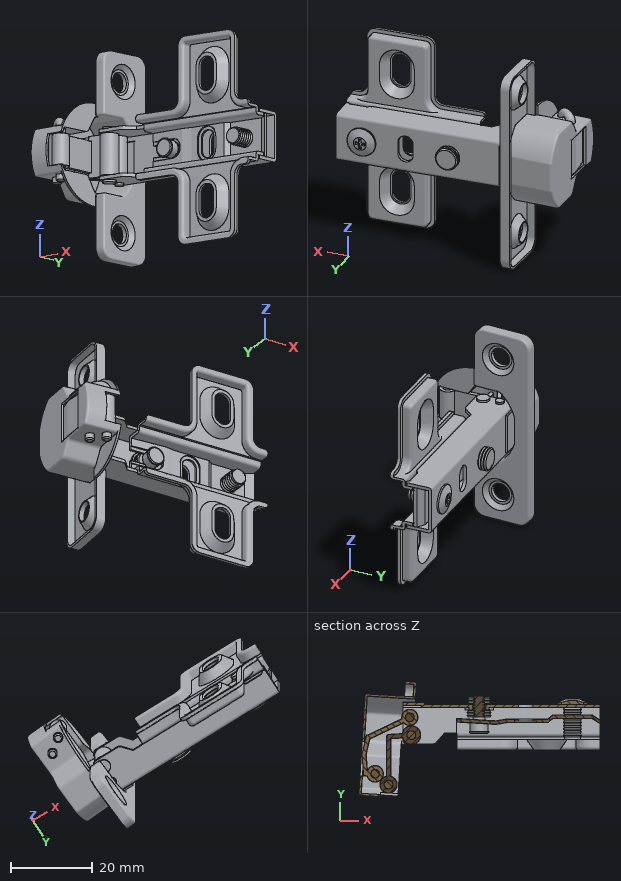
import cadquery as cq
import math


sheet = 0.9
clearance = 0.05
pick = 0.1
reach = 1.0
plate_length = 35.43

arm_front = -13.27
arm_back_y = 11.33
arm_half_width = 6.38
arm_inner_half = arm_half_width - sheet
arm_edge_y = 4.14
arm_nose_y = 1.46
arm_nose_end = -5.3
arm_nose_slope = 2.35
arm_nose_radius = 1.2
notch_start = 28.8
notch_end = 34.9
notch_slope = 0.8
notch_depth = 0.7
arm_end_bevel = 0.45
arm_pad_end = -7.84
arm_pad_half_width = 5.2
arm_pad_recess_half = 4.3
arm_pad_height = 0.5

strip_half = 8.2
strip_corner = 0.95
wing_start = 13.27
wing_end = 31.24
wing_mid = (wing_start + wing_end) / 2
wing_half = 26.2
wing_corner = 2.35
wing_root_radius = 2.2
rim = 0.93
wall_inset = 1.05
cavity_inset = 1.8
cavity_lip_radius = 0.8
wing_back_y = 3.55
strip_back_y = arm_edge_y
strip_wall_inner = 6.35
back_bend = 0.85

channel_half = arm_inner_half
channel_inner = channel_half - sheet
web_start = 6.9
web_front = 6.3
web_middle = 6.75
web_rear = 7.75
web_tip_y = 6.4
web_tip_x = 35.56
web_tip_drop = 0.2
web_steps = (9.7, 12.4, 22.5, 23.7, 33.45)

wing_slot_z = 16.0
slot_straight = 4.1
wing_slot_width = 4.5
wing_cone_tip_width = 6.37
wing_cone_base_width = 10.07
middle_slot_x = 17.02
middle_slot_width = 4.0
middle_slot_length = 7.0
middle_recess_width = 5.75
middle_recess_depth = 0.4

adjuster_x = 5.54
knob_radius = 2.42
knob_neck_radius = 2.2
knob_lip = 0.5
knob_chamfer = 0.3
knob_front_y = 4.1
adjuster_neck_radius = 1.5
adjuster_root_radius = 2.6
adjuster_crest_radius = 2.95
adjuster_back_y = 13.4
adjuster_pitch = 0.8
adjuster_bush_radius = 3.5
adjuster_bush_height = 0.6
keyhole_end_x = 6.6
keyhole_recess = 0.85

clamp_x = 28.56
clamp_tip_radius = 1.95
clamp_root_radius = 1.9
clamp_crest_radius = 2.25
clamp_tip_y = 2.55
clamp_thread_y = 3.2
clamp_pitch = 0.85
clamp_head_radius = 3.74
clamp_head_rim = 0.45
clamp_head_height = 1.35
clamp_head_flat = 1.7
cross_slot_length = 2.6
cross_slot_width = 0.7
cross_slot_depth = 0.8

tilt = 3.5
cup_origin = (-13.67, 0.91)
cup_radius = 13.0
cup_depth = 9.74
cup_half_width = 10.35
cup_flat_y = 12.45
shoulder_half = 6.05
shoulder_start = -0.1
shoulder_end = -2.85
shoulder_radius = 1.9
neck_radius = 1.3
cup_corner_radius = 1.0
tip_corner_radius = 0.7
cup_bottom_fillet = 0.6
cup_wall = 0.65
lip_thickness = 0.6
lip_overlap = 0.1
window_half = 5.3
window_low = -7.87
window_high = 0.62
mouth_depth = 4.4
mouth_half = 4.05

flange_low = 0.42
flange_high = 16.1
flange_half = 26.35
flange_corner = 3.1
flange_depth = 2.85
flange_wall = 0.68
flange_back_fillet = 0.55
flange_opening_half = cup_half_width - cup_wall
passage_radius = 0.6
hole_y = 7.4
hole_z = 19.0
hole_radius = 2.5
hole_cone_tip = 2.77
hole_cone_base = 4.4
hole_cone_height = 1.9
hole_sink_depth = 1.2
hole_sink_radius = 3.2

wire_radius = 1.15
wire_bend = 1.78
wire_top_z = 8.7
wire_bottom_z = -7.75
wire_chamfer = 0.35
leg_a = (-6.0, -7.15)
leg_b = (-2.54, -9.6)

arm_pin_front = (-11.15, 3.67)
arm_pin_back = (-11.55, 8.05)
arm_pin_radius = 1.0
front_head_radius = 1.68
back_head_radius = 1.1
head_height = 0.57

link_half = 5.25
narrow_half = mouth_half - clearance
link_thickness = 1.1
wire_curl = 2.05
front_wire_curl = 2.12
front_curl = 2.3
back_curl = 2.0
link_edge_radius = 0.85
ridge_y = -2.47
ridge_x = -cup_depth + 0.15
facet_end_x = -8.85
knee = (-8.75, 2.3)
elbow = (-3.2, 2.2)


def block(x0, x1, y0, y1, z0, z1):
    return cq.Workplane("XY").box(x1 - x0, y1 - y0, z1 - z0, centered=False).translate((x0, y0, z0))


def rod_z(point, radius, half_length):
    """Round bar along Z, centred on Z = 0."""
    return cq.Workplane("XY").center(*point).circle(radius).extrude(half_length, both=True)


def from_front(x, z, y):
    """Workplane at depth y whose extrusions run along +Y; its second axis points to -Z."""
    return cq.Workplane(cq.Plane(origin=(x, y, z), xDir=(1, 0, 0), normal=(0, 1, 0)))


def slot_y(x, z, length, width, y0, y1):
    """Slot prism, long along Z, running from y0 to y1."""
    return from_front(x, z, y0).slot2D(length, width, 90).extrude(y1 - y0)


def slot_cone_y(x, z, straight, width0, width1, y0, y1):
    """Slot-shaped frustum, long along Z, of width0 at y0 and width1 at y1."""
    return (
        from_front(x, z, y0).slot2D(straight + width0, width0, 90)
        .workplane(offset=y1 - y0).slot2D(straight + width1, width1, 90).loft(combine=True)
    )


def turned_y(x, profile):
    """Solid of revolution about the Y direction at X = x, from (radius, y) points."""
    return (
        cq.Workplane("XY").polyline(profile).close()
        .revolve(360, (0, 0, 0), (0, 1, 0)).translate((x, 0, 0))
    )


def thread_points(root, crest, y0, y1, pitch):
    """(radius, y) points of V-shaped rings between y0 and y1."""
    count = round((y1 - y0) / pitch)
    step = (y1 - y0) / count
    points = [(root, y0)]
    for i in range(count):
        points.append((crest, y0 + (i + 0.5) * step))
        points.append((root, y0 + (i + 1) * step))
    return points


def place_cup(body):
    return body.rotate((0, 0, 0), (0, 0, 1), -tilt).translate((*cup_origin, 0))


def to_cup(point):
    """An X, Y point expressed in the cup frame."""
    dx = point[0] - cup_origin[0]
    dy = point[1] - cup_origin[1]
    c = math.cos(math.radians(tilt))
    s = math.sin(math.radians(tilt))
    return (dx * c - dy * s, dx * s + dy * c)


def make_arm():
    outline = [
        (arm_front, arm_back_y),
        (plate_length, arm_back_y),
        (plate_length, arm_edge_y + arm_end_bevel),
        (notch_end, arm_edge_y),
        (notch_end - notch_slope, arm_edge_y + notch_depth),
        (notch_start + notch_slope, arm_edge_y + notch_depth),
        (notch_start, arm_edge_y),
        (arm_nose_end + arm_nose_slope, arm_edge_y),
        (arm_nose_end, arm_nose_y),
        (arm_front, arm_nose_y),
    ]
    arm = cq.Workplane("XY").polyline(outline).close().extrude(arm_half_width, both=True)
    arm = arm.edges("|X and >Y").fillet(sheet)
    arm = arm.edges("|Z and <Y").fillet(arm_nose_radius)
    web_inner_y = arm_back_y - sheet
    arm = arm.cut(block(arm_front, plate_length, 0, web_inner_y, -arm_inner_half, arm_inner_half))
    pad_top_y = arm_back_y + arm_pad_height
    pad = block(arm_front, arm_pad_end, web_inner_y, pad_top_y, -arm_pad_half_width, arm_pad_half_width)
    recess = block(
        arm_front, arm_pad_end - sheet, web_inner_y, pad_top_y - sheet,
        -arm_pad_recess_half, arm_pad_recess_half)
    bush = (
        from_front(adjuster_x, 0, web_inner_y - adjuster_bush_height).circle(adjuster_bush_radius)
        .extrude(adjuster_bush_height)
    )
    return arm.union(pad).cut(recess).union(bush)


def cross_prism(inset, y0, y1):
    """Cross-shaped prism with its long sides moved inwards; the strip keeps its full length."""
    x0 = wing_start + inset
    x1 = wing_end - inset
    z_strip = strip_half - inset
    z_wing = wing_half - inset
    cross = block(0, plate_length, y0, y1, -z_strip, z_strip).union(block(x0, x1, y0, y1, -z_wing, z_wing))

    def upright_edges_at(z):
        corners = [
            cq.selectors.BoxSelector(
                (x - pick, y0 - reach, side * z - pick), (x + pick, y1 + reach, side * z + pick))
            for x in (x0, x1) for side in (-1, 1)
        ]
        return cross.edges(corners[0] + corners[1] + corners[2] + corners[3])

    cross = upright_edges_at(z_strip).fillet(wing_root_radius + inset)
    return upright_edges_at(z_wing).fillet(wing_corner - inset)


def web_points(shift):
    """Front of the channel web as X, Y points, moved back by shift."""
    levels = (web_front, web_middle, web_middle, web_rear, web_rear)
    return [(0, web_start + shift)] + [(x, y + shift) for x, y in zip(web_steps, levels)]


def channel_prism(end_points, shift, half_width, y0):
    profile = [(0, y0)] + web_points(shift) + end_points
    return cq.Workplane("XY").polyline(profile).close().extrude(half_width, both=True)


def make_plate():
    wing_floor_y = wing_back_y - sheet
    strip_floor_y = strip_back_y - sheet
    wall_half = strip_half - wall_inset

    wings = cross_prism(wall_inset, 0, wing_back_y).faces(">Y").edges("not(<X or >X)").fillet(back_bend)
    strip = block(0, plate_length, 0, strip_back_y, -wall_half, wall_half)
    strip = strip.edges("|X and >Y").fillet(back_bend)
    rim_plate = cross_prism(0, 0, rim).edges("|Y and (<X or >X)").fillet(strip_corner)
    plate = rim_plate.union(wings).union(strip)

    plate = plate.cut(cross_prism(cavity_inset, 0, wing_floor_y))
    lip_box = cq.selectors.BoxSelector(
        (wing_start + rim, -pick, -wing_half + rim), (wing_end - rim, pick, wing_half - rim))
    strip_box = cq.selectors.BoxSelector(
        (pick, -pick, -strip_half + rim), (plate_length - pick, pick, strip_half - rim))
    plate = plate.edges(lip_box + strip_box).fillet(cavity_lip_radius)
    plate = plate.cut(block(0, plate_length, 0, strip_floor_y, -strip_wall_inner, strip_wall_inner))

    outer_end = [
        (plate_length, web_tip_y + sheet),
        (web_tip_x, web_tip_y),
        (plate_length, web_tip_y - web_tip_drop),
        (plate_length, strip_floor_y),
    ]
    inner_end = [(web_tip_x, web_tip_y), (web_tip_x, 0)]
    plate = plate.union(channel_prism(outer_end, sheet, channel_half, strip_floor_y))
    plate = plate.cut(channel_prism(inner_end, 0, channel_inner, 0))
    mouth_edges = cq.selectors.BoxSelector(
        (pick, strip_floor_y - pick, -channel_inner - pick),
        (plate_length - pick, strip_floor_y + pick, channel_inner + pick))
    plate = plate.edges(mouth_edges).fillet(back_bend)

    for z in (-wing_slot_z, wing_slot_z):
        plate = plate.union(slot_cone_y(
            wing_mid, z, slot_straight, wing_cone_tip_width, wing_cone_base_width, 0, wing_floor_y))
        plate = plate.cut(slot_cone_y(
            wing_mid, z, slot_straight, wing_cone_tip_width - sheet, wing_cone_base_width - sheet,
            sheet, wing_back_y))
        slot_length = slot_straight + wing_slot_width
        plate = plate.cut(slot_y(wing_mid, z, slot_length, wing_slot_width, 0, wing_back_y))

    middle_straight = middle_slot_length - middle_slot_width
    plate = plate.cut(slot_y(
        middle_slot_x, 0, middle_straight + middle_recess_width, middle_recess_width,
        web_middle - sheet, web_middle + middle_recess_depth))
    plate = plate.cut(middle_slot())

    y_start = web_front - sheet
    keyhole_steps = (
        (knob_radius, web_front + keyhole_recess),
        (adjuster_neck_radius, web_rear + sheet),
    )
    for radius, y_end in keyhole_steps:
        plate = plate.cut(block(0, keyhole_end_x, y_start, y_end, -radius, radius))
        plate = plate.cut(from_front(keyhole_end_x, 0, y_start).circle(radius).extrude(y_end - y_start))
    return plate


def middle_slot():
    return slot_y(middle_slot_x, 0, middle_slot_length, middle_slot_width, 0, arm_back_y)


def make_adjuster():
    knob_back_y = web_front + keyhole_recess
    thread_start = web_front + 2 * sheet
    profile = [
        (0, knob_front_y),
        (knob_radius - knob_chamfer, knob_front_y),
        (knob_radius, knob_front_y + knob_chamfer),
        (knob_radius, knob_front_y + knob_lip),
        (knob_neck_radius, knob_front_y + knob_lip),
        (knob_neck_radius, knob_back_y),
        (adjuster_neck_radius, knob_back_y),
        (adjuster_neck_radius, thread_start),
    ]
    profile += thread_points(
        adjuster_root_radius, adjuster_crest_radius, thread_start, adjuster_back_y, adjuster_pitch)
    profile.append((0, adjuster_back_y))
    return turned_y(adjuster_x, profile)


def make_clamp_screw():
    thread_end = arm_back_y - sheet
    profile = [(0, clamp_tip_y), (clamp_tip_radius, clamp_tip_y), (clamp_tip_radius, clamp_thread_y)]
    profile += thread_points(clamp_root_radius, clamp_crest_radius, clamp_thread_y, thread_end, clamp_pitch)
    profile += [
        (clamp_root_radius, arm_back_y),
        (clamp_head_radius, arm_back_y),
        (clamp_head_radius, arm_back_y + clamp_head_rim),
        (clamp_head_flat, arm_back_y + clamp_head_height),
        (0, arm_back_y + clamp_head_height),
    ]
    screw = turned_y(clamp_x, profile)
    head_top = arm_back_y + clamp_head_height
    for angle in (0, 90):
        groove = (
            from_front(clamp_x, 0, head_top - cross_slot_depth).transformed(rotate=(0, 0, angle))
            .rect(cross_slot_length, cross_slot_width).extrude(cross_slot_depth)
        )
        screw = screw.cut(groove)
    return screw


def cup_prism(inset, x0, x1):
    """Cup outline, moved inwards by inset and extruded along the cup axis."""
    slant = math.hypot(cup_half_width - shoulder_half, shoulder_start - shoulder_end)
    shift = inset * (slant - (shoulder_start - shoulder_end)) / (cup_half_width - shoulder_half)
    half = cup_half_width - inset
    neck = shoulder_half - inset
    top = cup_flat_y - inset
    outline = [
        (-cup_radius, -neck), (shoulder_end + shift, -neck), (shoulder_start + shift, -half), (top, -half),
        (top, half), (shoulder_start + shift, half), (shoulder_end + shift, neck), (-cup_radius, neck),
    ]
    prism = cq.Workplane("YZ", origin=(x0, 0, 0)).polyline(outline).close().extrude(x1 - x0)
    for y, radius in ((shoulder_start + shift, shoulder_radius), (shoulder_end + shift, neck_radius)):
        bend = cq.selectors.BoxSelector(
            (x0 - reach, y - pick, -half - reach), (x1 + reach, y + pick, half + reach))
        prism = prism.edges("|X").edges(bend).fillet(radius)
    disc = cq.Workplane("YZ", origin=(x0, 0, 0)).circle(cup_radius - inset).extrude(x1 - x0)
    prism = prism.intersect(disc)
    corners = cq.selectors.BoxSelector(
        (x0 - reach, 2 * shoulder_radius, -half - reach), (x1 + reach, top + reach, half + reach))
    prism = prism.edges("|X").edges(corners).fillet(cup_corner_radius)
    tip = cq.selectors.BoxSelector((x0 - reach, -cup_radius, -half), (x1 + reach, 2 * shoulder_end, half))
    return prism.edges("|X").edges(tip).fillet(tip_corner_radius)


def make_flange():
    """Dished flange, open towards the cup bottom."""
    width = flange_high - flange_low
    middle = (flange_high + flange_low) / 2

    def plate_block(inset, depth):
        return (
            cq.Workplane("YZ").center(middle, 0).rect(width - 2 * inset, 2 * (flange_half - inset))
            .extrude(depth).edges("|X").fillet(flange_corner - inset)
        )

    flange = plate_block(0, flange_depth).faces(">X").edges().fillet(flange_back_fillet)
    floor_x = flange_depth - flange_wall
    flange = flange.cut(plate_block(flange_wall, floor_x))
    for z in (-hole_z, hole_z):
        spot = cq.Workplane("YZ", origin=(floor_x, hole_y, z))
        flange = flange.union(
            spot.circle(hole_cone_base).workplane(offset=-hole_cone_height).circle(hole_cone_tip).loft())
        back = cq.Workplane("YZ", origin=(flange_depth, hole_y, z))
        flange = flange.cut(
            back.circle(hole_cone_base).workplane(offset=-hole_sink_depth).circle(hole_sink_radius).loft())
        flange = flange.cut(back.circle(hole_radius).extrude(-flange_depth))
    return flange


def make_cup():
    floor_x = flange_depth - flange_wall
    shell = cup_prism(0, -cup_depth, floor_x).faces("<X").edges().fillet(cup_bottom_fillet)
    shell = shell.cut(block(0, flange_depth, -cup_radius, flange_low, -cup_radius, cup_radius))
    lip = (
        cq.Workplane("YZ", origin=(-lip_thickness, 0, 0)).circle(cup_radius).extrude(lip_thickness)
        .intersect(block(-lip_thickness, 0, -cup_radius, flange_low + lip_overlap, -cup_radius, cup_radius))
    )
    cup = make_flange().union(shell).union(lip)

    cup = cup.cut(cup_prism(cup_wall, -cup_depth + cup_wall, flange_depth))
    cup = cup.cut(block(
        0, flange_depth, flange_low - reach, cup_radius / 2, -flange_opening_half, flange_opening_half))

    cup = cup.cut(block(-cup_depth, 0, window_low, window_high, -window_half, window_half))
    cup = cup.cut(block(-mouth_depth, 0, -cup_radius, leg_b[1], -mouth_half, mouth_half))

    low_corner, high_corner = (
        cq.selectors.BoxSelector(
            (0, flange_low - clearance, z - pick), (flange_depth, flange_low + clearance, z + pick))
        for z in (-flange_opening_half, flange_opening_half)
    )
    return cup.edges("|X").edges(low_corner + high_corner).fillet(passage_radius)


def make_wire():
    """U-shaped wire: two legs along Z, bent over at the top."""
    span = math.dist(leg_a, leg_b)
    arc_z = wire_top_z - wire_radius - wire_bend
    top_z = arc_z + wire_bend
    diagonal = wire_bend * math.sqrt(0.5)
    direction = ((leg_b[0] - leg_a[0]) / span, (leg_b[1] - leg_a[1]) / span, 0)
    plane = cq.Plane(origin=(*leg_a, 0), xDir=direction, normal=(direction[1], -direction[0], 0))
    path = (
        cq.Workplane(plane).moveTo(0, wire_bottom_z).lineTo(0, arc_z)
        .threePointArc((wire_bend - diagonal, arc_z + diagonal), (wire_bend, top_z))
        .lineTo(span - wire_bend, top_z)
        .threePointArc((span - wire_bend + diagonal, arc_z + diagonal), (span, arc_z))
        .lineTo(span, wire_bottom_z)
    )
    wire = cq.Workplane("XY", origin=(*leg_a, wire_bottom_z)).circle(wire_radius).sweep(path)
    return wire.faces("<Z").edges().chamfer(wire_chamfer)


def bar(start, end, half_width):
    """Flat bar, centred on the line between two points of the cup frame."""
    length = math.dist(start, end)
    angle = math.degrees(math.atan2(end[1] - start[1], end[0] - start[0]))
    return (
        cq.Workplane("XY").rect(length, link_thickness).extrude(half_width, both=True)
        .rotate((0, 0, 0), (0, 0, 1), angle)
        .translate(((start[0] + end[0]) / 2, (start[1] + end[1]) / 2, 0))
    )


def bore_link(link, wire_leg, arm_pin):
    return link.cut(rod_z(wire_leg, wire_radius, link_half)).cut(rod_z(arm_pin, arm_pin_radius, link_half))


def make_front_link():
    arm_pin = to_cup(arm_pin_front)
    link = bar(leg_b, elbow, narrow_half).union(bar(elbow, arm_pin, link_half))
    link = link.union(rod_z(elbow, link_thickness / 2, link_half))
    link = link.union(rod_z(leg_b, front_wire_curl, narrow_half)).union(rod_z(arm_pin, front_curl, link_half))
    return bore_link(link, leg_b, arm_pin)


def make_back_link():
    arm_pin = to_cup(arm_pin_back)
    start = (facet_end_x, window_low + clearance)
    outline = [
        start, (ridge_x, ridge_y), knee, (knee[0] + link_thickness, knee[1]),
        (ridge_x + link_thickness, ridge_y), (start[0] + link_thickness, start[1]),
    ]
    plate = cq.Workplane("XY").polyline(outline).close().extrude(link_half, both=True)
    outer_edges = cq.selectors.BoxSelector(
        (ridge_x - reach, start[1], -link_half - reach), (knee[0], knee[1], link_half + reach))
    plate = plate.edges("#Z").edges(outer_edges).fillet(link_edge_radius)
    knee_middle = (knee[0] + link_thickness / 2, knee[1] - link_thickness / 2)
    link = plate.union(bar(knee_middle, arm_pin, link_half))
    link = link.union(rod_z(leg_a, wire_curl, link_half)).union(rod_z(arm_pin, back_curl, link_half))
    return bore_link(link, leg_a, arm_pin)


def make_arm_pin(point, head_radius):
    """Rivet through the arm walls with a head on each side."""
    pin = rod_z(point, arm_pin_radius, arm_half_width)
    for z in (arm_half_width, -arm_half_width - head_height):
        pin = pin.union(cq.Workplane("XY", origin=(*point, z)).circle(head_radius).extrude(head_height))
    return pin


adjuster = make_adjuster()
clamp_screw = make_clamp_screw()
wire_pin = place_cup(make_wire())
front_link = place_cup(make_front_link())
back_link = place_cup(make_back_link())
front_pin = make_arm_pin(arm_pin_front, front_head_radius)
back_pin = make_arm_pin(arm_pin_back, back_head_radius)

cup = place_cup(make_cup()).cut(wire_pin)
arm = make_arm().cut(middle_slot()).cut(adjuster).cut(clamp_screw).cut(front_pin).cut(back_pin)
mounting_plate = make_plate().cut(clamp_screw)

result = cq.Compound.makeCompound([
    cup.val(),
    wire_pin.val(),
    front_link.val(),
    back_link.val(),
    front_pin.val(),
    back_pin.val(),
    arm.val(),
    mounting_plate.val(),
    adjuster.val(),
    clamp_screw.val(),
])